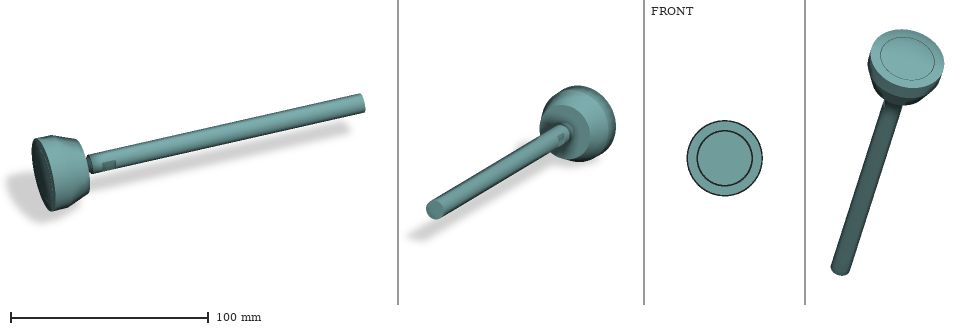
import cadquery as cq

total_length = 170.0

foot_diameter = 38.0
shoulder_diameter = 37.7
foot_top_diameter = 28.5
rim_height = 8.3
foot_height = 20.0

head_diameter = 27.5
recess_diameter = 28.0
head_height = rim_height

rod_diameter = 10.0
neck_diameter = 7.8
neck_end = 24.6
flare_height = 1.0

across_flats = 8.0
flats_start = 29.8
flats_length = 7.3


def revolve_about_y(profile_points):
    """Turn a closed (radius, Y) profile about the Y axis."""
    return cq.Workplane("XY").polyline(profile_points).close().revolve(360, (0, 0), (0, 1))


def make_foot():
    recess_radius = recess_diameter / 2
    bore_radius = rod_diameter / 2
    return revolve_about_y([
        (recess_radius, 0),
        (foot_diameter / 2, 0),
        (shoulder_diameter / 2, rim_height),
        (foot_top_diameter / 2, foot_height),
        (bore_radius, foot_height),
        (bore_radius, head_height),
        (recess_radius, head_height),
    ])


def cut_wrench_flats(spindle):
    flats_middle = flats_start + flats_length / 2
    cutter_width = rod_diameter
    for side in (-1, 1):
        cutter = cq.Workplane("XY").box(cutter_width, flats_length, rod_diameter)
        cutter_x = side * (across_flats + cutter_width) / 2
        spindle = spindle.cut(cutter.translate((cutter_x, flats_middle, 0)))
    return spindle


def make_spindle():
    head_radius = head_diameter / 2
    rod_radius = rod_diameter / 2
    neck_radius = neck_diameter / 2
    blank = revolve_about_y([
        (0, 0),
        (head_radius, 0),
        (head_radius, head_height),
        (rod_radius, head_height),
        (rod_radius, foot_height),
        (neck_radius, foot_height + flare_height),
        (neck_radius, neck_end),
        (rod_radius, neck_end),
        (rod_radius, total_length),
        (0, total_length),
    ])
    return cut_wrench_flats(blank)


foot = make_foot()
spindle = make_spindle()

result = cq.Compound.makeCompound([foot.val(), spindle.val()])